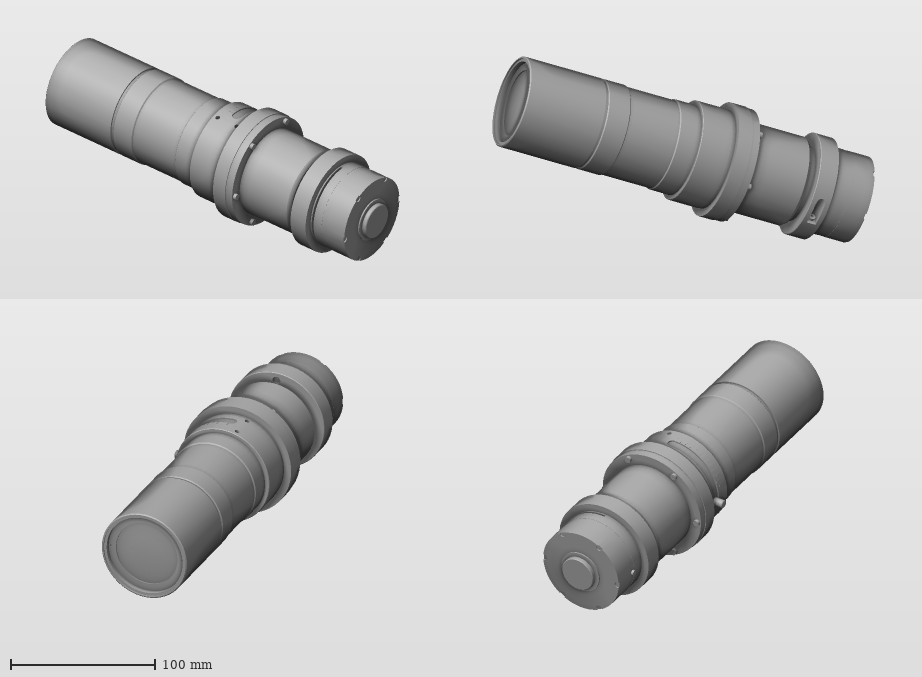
import cadquery as cq
import math

OVERLAP = 0.5
CUT_MARGIN = 2.0

SLEEVE_END = 57.6
FRONT_RING_START = 59.7
FRONT_RING_END = 76.1
REAR_RING_START = 114.8
SCALE_RING_START = 129.9
SCALE_RING_END = 152.3
FLANGE_START = 154.8
FLANGE_STEP = 165.4
FLANGE_END = 171.2
REAR_TUBE_END = 215.0
COLLAR_START = 219.3
COLLAR_END = 232.9
BODY_END = 262.6
MOUNT_SHOULDER_END = 263.6
TOTAL_LENGTH = 267.3

SLEEVE_RADIUS = 32.5
SLEEVE_GROOVE_RADIUS = 31.4
FRONT_TUBE_RADIUS = 31.7
SCALE_RING_RADIUS = 35.8
SCALE_RING_TAIL_RADIUS = 35.5
FLANGE_RADIUS = 41.0
FLANGE_REAR_RADIUS = 40.4
REAR_TUBE_RADIUS = 32.0
NECK_RADIUS = 27.0
COLLAR_RADIUS = 36.6
BODY_RADIUS = 31.0
MOUNT_SHOULDER_RADIUS = 31.0 / 2
MOUNT_THREAD_RADIUS = 25.4 / 2

EDGE_CHAMFER = 0.7
MOUNT_CHAMFER = 0.5
RING_CHAMFER = 0.4
PIN_CHAMFER = 0.4
REAR_TUBE_CHAMFER_LENGTH = 2.4
REAR_TUBE_CHAMFER_DROP = 1.8

MOUTH_RADIUS = 31.0
MOUTH_DEPTH = 1.0
RETAINER_RADIUS = 29.0
RETAINER_DEPTH = 4.4
LENS_RADIUS = 23.4
LENS_EDGE_DEPTH = 5.2
LENS_SAGITTA = 1.2
SPANNER_HOLE_DIAMETER = 1.5
SPANNER_HOLE_OFFSET = 27.2
SPANNER_HOLE_DEPTH = 1.5

LEVER_X = 144.1
LEVER_DIAMETER = 6.0
LEVER_TIP_Y = 42.0
SLOT_WIDTH = 6.8
SLOT_DEPTH = 1.0
SLOT_SWEEP = 91.0
TICK_COUNT = 13
TICK_STEP = 6.2
TICK_LENGTH_LONG = 3.4
TICK_LENGTH_SHORT = 1.8
TICK_WIDTH = 0.7
TICK_DEPTH = 0.2
SET_SCREW_X = (134.0, 150.7)
SET_SCREW_ANGLE = 105.0
SET_SCREW_DIAMETER = 3.3
SET_SCREW_DEPTH = 3.0

CAP_DIAMETER = 4.5
CAP_HEIGHT = 2.3
CAP_COUNT = 6
CAP_CIRCLE_RADIUS = 37.4

CLAMP_X = 226.4
CLAMP_Z = -31.7
CLAMP_POCKET_WIDTH = 6.6
CLAMP_FLOOR_Y = -4.0
CLAMP_SOCKET_DIAMETER = 2.3

COLLAR_HOLE_DIAMETER = 6.0
COLLAR_HOLE_DEPTH = 3.0
COLLAR_HOLE_Y = 0.0
COLLAR_HOLE_Z = 30.5

RELIEF_START = 233.9
RELIEF_WIDTH = 1.6
RELIEF_EDGE_Y = 2.0
BAND_START = 242.5
BAND_END = 246.6
BAND_DEPTH = 0.15
STUD_TIP_Y = 32.5
REAR_NOTCH_DIAMETER = 4.6
REAR_NOTCH_DEPTH = 0.8
REAR_NOTCH_COUNT = 6
REAR_NOTCH_CIRCLE_RADIUS = 30.0


def barrel():
    """Turned outside and front opening in one revolved profile."""
    edge = EDGE_CHAMFER
    thread_break = MOUNT_CHAMFER
    ring_break = RING_CHAMFER
    band_radius = BODY_RADIUS - BAND_DEPTH
    outline = (
        cq.Workplane("XY")
        .moveTo(LENS_EDGE_DEPTH - LENS_SAGITTA, 0)
        .threePointArc(lens_midpoint(), (LENS_EDGE_DEPTH, LENS_RADIUS))
        .lineTo(RETAINER_DEPTH, LENS_RADIUS)
        .lineTo(RETAINER_DEPTH, RETAINER_RADIUS)
        .lineTo(MOUTH_DEPTH, RETAINER_RADIUS)
        .lineTo(MOUTH_DEPTH, MOUTH_RADIUS)
        .lineTo(0, MOUTH_RADIUS)
        .lineTo(0, SLEEVE_RADIUS - edge)
        .lineTo(edge, SLEEVE_RADIUS)
        .lineTo(SLEEVE_END, SLEEVE_RADIUS)
        .lineTo(SLEEVE_END, SLEEVE_GROOVE_RADIUS)
        .lineTo(FRONT_RING_START, SLEEVE_GROOVE_RADIUS)
        .lineTo(FRONT_RING_START, SLEEVE_RADIUS - edge)
        .lineTo(FRONT_RING_START + edge, SLEEVE_RADIUS)
        .lineTo(FRONT_RING_END, SLEEVE_RADIUS)
        .lineTo(FRONT_RING_END + edge, FRONT_TUBE_RADIUS)
        .lineTo(REAR_RING_START - edge, FRONT_TUBE_RADIUS)
        .lineTo(REAR_RING_START, SLEEVE_RADIUS)
        .lineTo(SCALE_RING_START, SLEEVE_RADIUS)
        .lineTo(SCALE_RING_START, SCALE_RING_RADIUS - ring_break)
        .lineTo(SCALE_RING_START + ring_break, SCALE_RING_RADIUS)
        .lineTo(SCALE_RING_END, SCALE_RING_RADIUS)
        .lineTo(SCALE_RING_END, SCALE_RING_TAIL_RADIUS)
        .lineTo(FLANGE_START, SCALE_RING_TAIL_RADIUS)
        .lineTo(FLANGE_START, FLANGE_RADIUS)
        .lineTo(FLANGE_STEP, FLANGE_RADIUS)
        .lineTo(FLANGE_STEP, FLANGE_REAR_RADIUS)
        .lineTo(FLANGE_END, FLANGE_REAR_RADIUS)
        .lineTo(FLANGE_END, REAR_TUBE_RADIUS)
        .lineTo(REAR_TUBE_END - REAR_TUBE_CHAMFER_LENGTH, REAR_TUBE_RADIUS)
        .lineTo(REAR_TUBE_END, REAR_TUBE_RADIUS - REAR_TUBE_CHAMFER_DROP)
        .lineTo(REAR_TUBE_END, NECK_RADIUS)
        .lineTo(COLLAR_START, NECK_RADIUS)
        .lineTo(COLLAR_START, COLLAR_RADIUS - ring_break)
        .lineTo(COLLAR_START + ring_break, COLLAR_RADIUS)
        .lineTo(COLLAR_END, COLLAR_RADIUS)
        .lineTo(COLLAR_END, BODY_RADIUS)
        .lineTo(BAND_START, BODY_RADIUS)
        .lineTo(BAND_START, band_radius)
        .lineTo(BAND_END, band_radius)
        .lineTo(BAND_END, BODY_RADIUS)
        .lineTo(BODY_END, BODY_RADIUS)
        .lineTo(BODY_END, MOUNT_SHOULDER_RADIUS)
        .lineTo(MOUNT_SHOULDER_END, MOUNT_SHOULDER_RADIUS)
        .lineTo(MOUNT_SHOULDER_END, MOUNT_THREAD_RADIUS - thread_break)
        .lineTo(MOUNT_SHOULDER_END + thread_break, MOUNT_THREAD_RADIUS)
        .lineTo(TOTAL_LENGTH - thread_break, MOUNT_THREAD_RADIUS)
        .lineTo(TOTAL_LENGTH, MOUNT_THREAD_RADIUS - thread_break)
        .lineTo(TOTAL_LENGTH, 0)
        .close()
    )
    return outline.revolve(360, (0, 0, 0), (1, 0, 0))


def lens_midpoint():
    """Point halfway out on the spherical front glass."""
    half = LENS_RADIUS / 2
    sphere_radius = (LENS_RADIUS**2 + LENS_SAGITTA**2) / (2 * LENS_SAGITTA)
    drop = sphere_radius - math.sqrt(sphere_radius**2 - half**2)
    return (LENS_EDGE_DEPTH - LENS_SAGITTA + drop, half)


def x_cylinder(start, length, radius, y=0.0, z=0.0):
    """Cylinder parallel to the lens axis."""
    return cq.Workplane("YZ", origin=(start, y, z)).circle(radius).extrude(length)


def radial_cylinder(x, diameter, inner, outer, angle=0.0):
    """Cylinder pointing away from the axis; angle runs from +Y towards +Z."""
    base = cq.Plane(origin=(x, inner, 0), xDir=(1, 0, 0), normal=(0, 1, 0))
    pin = cq.Workplane(base).circle(diameter / 2).extrude(outer - inner)
    return pin.rotate((0, 0, 0), (1, 0, 0), angle)


def spanner_holes():
    depth = SPANNER_HOLE_DEPTH
    radius = SPANNER_HOLE_DIAMETER / 2
    left = x_cylinder(RETAINER_DEPTH, depth, radius, SPANNER_HOLE_OFFSET)
    right = x_cylinder(RETAINER_DEPTH, depth, radius, -SPANNER_HOLE_OFFSET)
    return left.union(right)


def lever_slot():
    """Shallow slot running round the scale ring, with rounded ends."""
    inner = SCALE_RING_RADIUS - SLOT_DEPTH
    outer = SCALE_RING_RADIUS + CUT_MARGIN
    left = LEVER_X - SLOT_WIDTH / 2
    right = LEVER_X + SLOT_WIDTH / 2
    section = cq.Workplane("XY").polyline([(left, inner), (right, inner), (right, outer), (left, outer)])
    slot = section.close().revolve(SLOT_SWEEP, (0, 0, 0), (1, 0, 0))
    core = x_cylinder(LEVER_X - SLOT_WIDTH, 2 * SLOT_WIDTH, inner)
    for angle in (0, SLOT_SWEEP):
        end = radial_cylinder(LEVER_X, SLOT_WIDTH, inner - OVERLAP, outer, angle)
        slot = slot.union(end.cut(core))
    return slot


def scale_ticks():
    """Engraved graduation beside the slot, every second line long."""
    ticks = cq.Workplane("XY")
    slot_edge = LEVER_X - SLOT_WIDTH / 2
    height = TICK_DEPTH + CUT_MARGIN
    centre_y = SCALE_RING_RADIUS - TICK_DEPTH + height / 2
    for index in range(TICK_COUNT):
        length = TICK_LENGTH_LONG if index % 2 == 0 else TICK_LENGTH_SHORT
        tick = cq.Workplane("XY").box(length, height, TICK_WIDTH)
        tick = tick.translate((slot_edge - length / 2, centre_y, 0))
        tick = tick.rotate((0, 0, 0), (1, 0, 0), 90 - index * TICK_STEP)
        ticks = ticks.add(tick)
    return ticks


def set_screw_holes():
    holes = cq.Workplane("XY")
    inner = SCALE_RING_RADIUS - SET_SCREW_DEPTH
    outer = SCALE_RING_RADIUS + CUT_MARGIN
    for x in SET_SCREW_X:
        holes = holes.add(radial_cylinder(x, SET_SCREW_DIAMETER, inner, outer, SET_SCREW_ANGLE))
    return holes


def flange_screws():
    """Cap screw heads on the rear face of the flange."""
    heads = cq.Workplane("XY")
    head = x_cylinder(FLANGE_END - OVERLAP, CAP_HEIGHT + OVERLAP, CAP_DIAMETER / 2, CAP_CIRCLE_RADIUS)
    for index in range(CAP_COUNT):
        heads = heads.add(head.rotate((0, 0, 0), (1, 0, 0), index * 360 / CAP_COUNT))
    return heads


def y_plane(y):
    """Plane facing -Y, centred on the clamp screw."""
    return cq.Plane(origin=(CLAMP_X, y, CLAMP_Z), xDir=(1, 0, 0), normal=(0, -1, 0))


def clamp_pocket():
    """Counterbore entering the collar from -Y, open towards -Z."""
    drop = COLLAR_RADIUS + CUT_MARGIN + CLAMP_Z
    reach = COLLAR_RADIUS
    bore = cq.Workplane(y_plane(CLAMP_FLOOR_Y)).circle(CLAMP_POCKET_WIDTH / 2).extrude(reach)
    mouth = (
        cq.Workplane(y_plane(CLAMP_FLOOR_Y))
        .center(0, -drop / 2)
        .rect(CLAMP_POCKET_WIDTH, drop)
        .extrude(reach)
    )
    return bore.union(mouth)


def clamp_screw():
    """Cap screw seated on the pocket floor, with a hexagon socket."""
    seat = CLAMP_FLOOR_Y + OVERLAP
    top = CLAMP_FLOOR_Y - CAP_HEIGHT
    head = cq.Workplane(y_plane(seat)).circle(CAP_DIAMETER / 2).extrude(seat - top)
    socket = cq.Workplane(y_plane(top)).polygon(6, CLAMP_SOCKET_DIAMETER).extrude(-CAP_HEIGHT / 2)
    return head.cut(socket)


def collar_hole():
    """Blind hole in the front face of the collar, just above the neck."""
    radius = COLLAR_HOLE_DIAMETER / 2
    return x_cylinder(COLLAR_START, COLLAR_HOLE_DEPTH, radius, COLLAR_HOLE_Y, COLLAR_HOLE_Z)


def rear_notches():
    """Shallow round notches in the rear rim of the body, opening at its side."""
    notches = cq.Workplane("XY")
    start = BODY_END - REAR_NOTCH_DEPTH
    length = REAR_NOTCH_DEPTH
    notch = x_cylinder(start, length, REAR_NOTCH_DIAMETER / 2, REAR_NOTCH_CIRCLE_RADIUS)
    for index in range(REAR_NOTCH_COUNT):
        notches = notches.add(notch.rotate((0, 0, 0), (1, 0, 0), index * 360 / REAR_NOTCH_COUNT))
    return notches


def body_relief():
    """Narrow groove behind the collar, on the -Y half only."""
    outer = BODY_RADIUS + CUT_MARGIN
    ring = x_cylinder(RELIEF_START, RELIEF_WIDTH, outer)
    ring = ring.cut(x_cylinder(RELIEF_START, RELIEF_WIDTH, NECK_RADIUS))
    keep = cq.Workplane("XY").box(RELIEF_WIDTH, 2 * outer, 2 * outer)
    return ring.intersect(keep.translate((RELIEF_START + RELIEF_WIDTH / 2, RELIEF_EDGE_Y - outer, 0)))


def lever_pin():
    root = SCALE_RING_RADIUS - SLOT_DEPTH - OVERLAP
    pin = radial_cylinder(LEVER_X, LEVER_DIAMETER, root, LEVER_TIP_Y)
    return pin.faces(">Y").chamfer(PIN_CHAMFER)


def band_stud():
    """Small stud standing on the band at +Y."""
    band_middle = (BAND_START + BAND_END) / 2
    return radial_cylinder(band_middle, BAND_END - BAND_START, BODY_RADIUS - 2 * OVERLAP, STUD_TIP_Y)


result = barrel()
cutters = (
    spanner_holes(),
    scale_ticks(),
    lever_slot(),
    set_screw_holes(),
    clamp_pocket(),
    collar_hole(),
    rear_notches(),
    body_relief(),
)
for cutter in cutters:
    for solid in cutter.vals():
        result = result.cut(cq.Workplane(solid))
for addition in (lever_pin(), flange_screws(), clamp_screw(), band_stud()):
    for solid in addition.vals():
        result = result.union(cq.Workplane(solid))